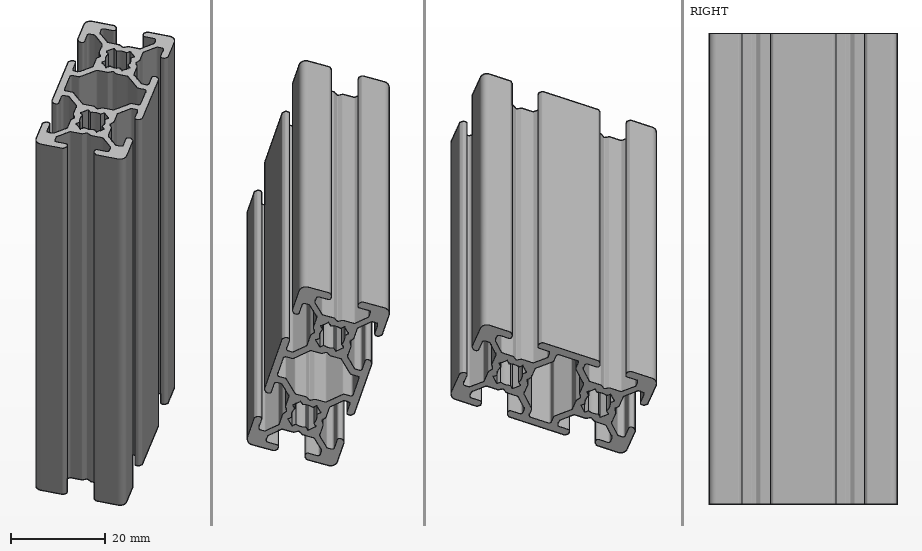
import cadquery as cq

cell = 20.0
length = 100.0
half_cell = cell / 2
corner_radius = 1.5

core_half = 4.5
web_offset = 0.9
cavity_web_offset = 1.1

wall = 1.6
mouth_half = 3.0
slot_half = 6.0
lip_chamfer = 0.6
lip_radius = 0.5
lip_inner_radius = 0.5
inside_radius = 0.5

groove_half = 0.95
groove_depth = 0.6
groove_rim_radius = 0.3
groove_root_radius = 0.2

outside_clearance = 1.0

bore_radius = 2.7
relief_width = 1.9
relief_span = 6.9

cavity_half_height = 2.5

cell_centers = [(0, -half_cell), (0, half_cell)]


def mirrored_prism(half_outline):
    """Extrude an outline completed by mirroring it in the Y axis; the last point is on that axis."""
    other_half = [(-x, y) for x, y in reversed(half_outline[:-1])]
    return cq.Workplane("XY").polyline(half_outline + other_half).close().extrude(length)


def round_corners(prism, corners, radius):
    """Fillet the vertical edges at the given corners and at their mirror images in the Y axis."""
    for x, y in corners:
        for mirrored_x in {x, -x}:
            corner = cq.selectors.NearestToPointSelector((mirrored_x, y, length / 2))
            prism = prism.edges(corner).fillet(radius)
    return prism


def slot_cutter():
    """T-slot opening toward +Y, for a cell centered on the origin."""
    lip_back = half_cell - wall
    lip_face = (mouth_half + lip_chamfer, half_cell)
    lip_tip = (mouth_half, half_cell - lip_chamfer)
    lip_heel = (mouth_half, lip_back)
    lip_root = (slot_half, lip_back)
    back_corner = (slot_half, slot_half + web_offset)
    core_corner = (core_half - web_offset, core_half)
    groove_rim = (groove_half, core_half)
    groove_root = (0, core_half - groove_depth)
    slot = mirrored_prism([
        (half_cell, half_cell + outside_clearance),
        (half_cell, half_cell),
        lip_face,
        lip_tip,
        lip_heel,
        lip_root,
        back_corner,
        core_corner,
        groove_rim,
        groove_root,
    ])
    slot = round_corners(slot, [lip_face, lip_tip], lip_radius)
    slot = round_corners(slot, [lip_heel], lip_inner_radius)
    slot = round_corners(slot, [lip_root, back_corner, core_corner], inside_radius)
    slot = round_corners(slot, [groove_rim], groove_rim_radius)
    return round_corners(slot, [groove_root], groove_root_radius)


def cavity_half_cutter():
    """Upper half of the central cavity, from the middle of the part up to the core."""
    core_face = half_cell - core_half
    side = half_cell - wall
    flank_end = half_cell - cavity_half_height - cavity_web_offset
    side_corner = (side, cavity_half_height)
    flank_corner = (flank_end, cavity_half_height)
    core_corner = (core_half - cavity_web_offset, core_face)
    groove_rim = (groove_half, core_face)
    groove_root = (0, core_face + groove_depth)
    half_cavity = mirrored_prism([
        (side, 0),
        side_corner,
        flank_corner,
        core_corner,
        groove_rim,
        groove_root,
    ])
    half_cavity = round_corners(half_cavity, [side_corner, flank_corner, core_corner], inside_radius)
    half_cavity = round_corners(half_cavity, [groove_rim], groove_rim_radius)
    return round_corners(half_cavity, [groove_root], groove_root_radius)


def bore_cutter():
    """Round bore with diagonal reliefs, centered on the origin."""
    bore = cq.Workplane("XY").circle(bore_radius).extrude(length)
    for angle in (45, 135):
        relief = cq.Workplane("XY").rect(relief_span, relief_width).extrude(length)
        bore = bore.union(relief.rotate((0, 0, 0), (0, 0, 1), angle))
    return bore


result = cq.Workplane("XY").rect(cell, 2 * cell).extrude(length)
result = result.edges("|Z").fillet(corner_radius)

slot = slot_cutter()
half_cavity = cavity_half_cutter()
bore = bore_cutter()
for center, end_angle in zip(cell_centers, (180, 0)):
    for slot_angle in (90, -90, end_angle):
        turned_slot = slot.rotate((0, 0, 0), (0, 0, 1), slot_angle)
        result = result.cut(turned_slot.translate(center))
    result = result.cut(bore.translate(center))
    result = result.cut(half_cavity.rotate((0, 0, 0), (0, 0, 1), end_angle))